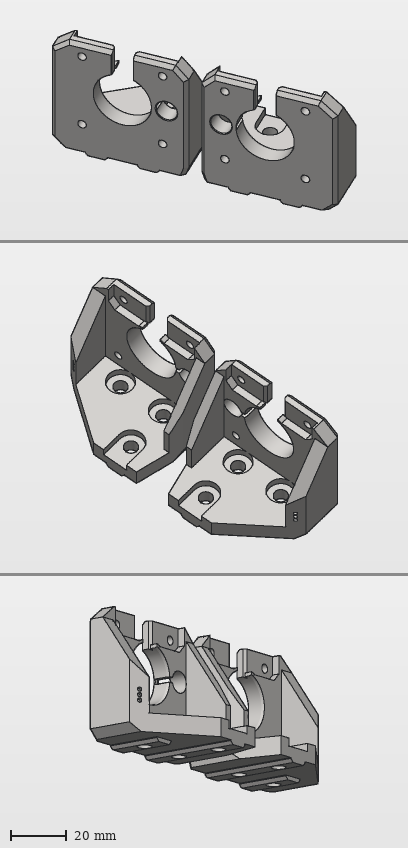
import cadquery as cq


gap_between_brackets = 5.0
outer_side = 27.5
inner_side = 25.0
height = 48.8
depth = 39.2
eps = 1.0

plate_thickness = 7.0
front_chamfer = 1.5
top_corner_height = 5.1
top_corner_outer = 6.6
top_corner_inner = 5.0
bottom_corner_height = 3.3
bottom_corner_outer = 3.5
bottom_corner_inner = 1.1

motor_z = 28.0
motor_bore_radius = 11.2
bore_back_chamfer_depth = 1.0
bore_back_chamfer_width = 0.3
motor_screw_spacing = 31.0
motor_screw_diameter = 3.3
slot_width = 8.2
slot_front_chamfer = 0.3
slot_back_chamfer = 1.0

recess_depth = 3.0
recess_floor_z = motor_z + 11.0
recess_floor_half_width = 17.1
recess_corner = 3.0
bore_collar_radius = 12.5

rod_x = 17.0
rod_diameter = 8.1
rod_chamfer = 0.3
rod_slit_height = 2.0
rod_slit_skin = 0.6

flange_thickness = 7.0
outer_wall = 6.0
inner_wall = 4.0
side_depth = 19.1
back_outer = 0.0
back_inner = 20.0
wall_back_y = 25.1
wall_back_z = 17.9
wall_top_z = height - top_corner_height

screw_half_spacing = 10.0
front_screw_y = 12.3
back_screw_y = 30.3
screw_diameter = 5.4
screw_head_diameter = 10.7
screw_head_depth = 3.0

ridge_height = 1.6
ridge_top_width = 8.4
ridge_bottom_width = 6.0
ridge_step = 0.3
ridge_front_chamfer = 0.3
outer_ridge_length = 21.2
inner_ridge_length = depth

marker_diameter = 1.5
marker_pitch = 2.0
marker_count = 3
marker_depth = 2.0
marker_y = 21.35
marker_middle_z = 13.55


def box(x0, x1, y0, y1, z0, z1):
    """Box between two opposite corners."""
    corner = cq.Workplane("XY", origin=(x0, y0, z0))
    return corner.box(x1 - x0, y1 - y0, z1 - z0, centered=False)


def along_y(outline, y0, y1):
    """Extrude an (x, z) outline from y0 to y1."""
    return cq.Workplane("XZ", origin=(0, y0, 0)).polyline(outline).close().extrude(y0 - y1)


def rod_along_y(x, z, diameter, y0, y1):
    """Cylinder parallel to Y from y0 to y1."""
    return cq.Workplane("XZ", origin=(x, y0, z)).circle(diameter / 2).extrude(y0 - y1)


def cone_along_y(x, z, y0, radius0, y1, radius1):
    """Cone parallel to Y with radius0 at y0 and radius1 at y1."""
    cone = cq.Solid.makeCone(radius0, radius1, y1 - y0, cq.Vector(x, y0, z), cq.Vector(0, 1, 0))
    return cq.Workplane(obj=cone)


def outer_block():
    """Full envelope: cornered front outline with a chamfered rim, except along the bottom."""
    front_outline = [
        (-outer_side + bottom_corner_outer, 0),
        (inner_side - bottom_corner_inner, 0),
        (inner_side, bottom_corner_height),
        (inner_side, height - top_corner_height),
        (inner_side - top_corner_inner, height),
        (-outer_side + top_corner_outer, height),
        (-outer_side, height - top_corner_height),
        (-outer_side, bottom_corner_height),
    ]
    block = along_y(front_outline, 0, depth)
    return block.faces("<Y").edges("not <Z").chamfer(front_chamfer)


def plan_taper():
    """Plan outline through the full height, with both sides tapering to the back edge."""
    plan = [
        (-outer_side, 0),
        (inner_side, 0),
        (inner_side, side_depth),
        (back_inner, depth),
        (back_outer, depth),
        (-outer_side, side_depth),
    ]
    bottom = cq.Workplane("XY", origin=(0, 0, -ridge_height))
    return bottom.polyline(plan).close().extrude(ridge_height + height)


def wall_profile():
    """Side profile that keeps the plate, the sloped walls and the flange."""
    profile = [
        (0, 0),
        (depth, 0),
        (depth, flange_thickness),
        (wall_back_y, flange_thickness),
        (wall_back_y, wall_back_z),
        (plate_thickness, wall_top_z),
        (plate_thickness, height),
        (0, height),
    ]
    width = outer_side + inner_side
    return cq.Workplane("YZ", origin=(-outer_side, 0, 0)).polyline(profile).close().extrude(width)


def motor_space():
    """Open space behind the plate, between the walls and above the flange."""
    return box(
        -outer_side + outer_wall, inner_side - inner_wall,
        plate_thickness, depth,
        flange_thickness, height)


def ridge(x, length):
    """Tapered ridge along the underside with a bevelled front end."""
    top = ridge_top_width / 2
    bottom = ridge_bottom_width / 2
    outline = [
        (x - top, 0),
        (x + top, 0),
        (x + top, -ridge_step),
        (x + bottom, -ridge_height),
        (x - bottom, -ridge_height),
        (x - top, -ridge_step),
    ]
    return along_y(outline, 0, length).faces("<Z").edges("<Y").chamfer(ridge_front_chamfer)


def motor_cuts():
    """Motor bore with its back chamfer and the four motor screw holes."""
    cuts = rod_along_y(0, motor_z, 2 * motor_bore_radius, -eps, plate_thickness)
    cuts = cuts.union(cone_along_y(
        0, motor_z, plate_thickness - bore_back_chamfer_depth, motor_bore_radius,
        plate_thickness, motor_bore_radius + bore_back_chamfer_width))
    half = motor_screw_spacing / 2
    for x in (-half, half):
        for z in (motor_z - half, motor_z + half):
            cuts = cuts.union(rod_along_y(x, z, motor_screw_diameter, -eps, plate_thickness))
    return cuts


def motor_slot():
    """Slot from the motor bore to the top, bevelled at the front and at the recess."""
    half = slot_width / 2
    web = plate_thickness - recess_depth
    plan = [
        (-half - slot_front_chamfer, 0),
        (half + slot_front_chamfer, 0),
        (half, slot_front_chamfer),
        (half, web - slot_back_chamfer),
        (half + slot_back_chamfer, web),
        (half, web),
        (half, plate_thickness),
        (-half, plate_thickness),
        (-half, web),
        (-half - slot_back_chamfer, web),
        (-half, web - slot_back_chamfer),
        (-half, slot_front_chamfer),
    ]
    bottom = cq.Workplane("XY", origin=(0, 0, motor_z))
    return bottom.polyline(plan).close().extrude(height - motor_z)


def screw_recess():
    """Recess in the back of the plate around the upper screws, clear of the bore collar."""
    floor = recess_floor_half_width
    side = floor + recess_corner
    outline = [
        (-floor, recess_floor_z),
        (floor, recess_floor_z),
        (side, recess_floor_z + recess_corner),
        (side, height + eps),
        (-side, height + eps),
        (-side, recess_floor_z + recess_corner),
    ]
    web = plate_thickness - recess_depth
    collar = rod_along_y(0, motor_z, 2 * bore_collar_radius, web, plate_thickness)
    return along_y(outline, web, plate_thickness).cut(collar)


def rod_cuts():
    """Smooth rod hole, its front chamfer and the hidden slit that joins it to the bore."""
    radius = rod_diameter / 2
    hole = rod_along_y(rod_x, motor_z, rod_diameter, -eps, plate_thickness)
    chamfer = cone_along_y(rod_x, motor_z, 0, radius + rod_chamfer, rod_chamfer, radius)
    low = motor_z - rod_slit_height / 2
    slit = box(0, rod_x, rod_slit_skin, plate_thickness, low, low + rod_slit_height)
    return hole.union(chamfer).union(slit)


def screw_cuts():
    """Frame screw holes with head recesses; the back recess is open to the rear."""
    places = [
        (-screw_half_spacing, front_screw_y),
        (screw_half_spacing, front_screw_y),
        (screw_half_spacing, back_screw_y),
    ]
    head_z = flange_thickness - screw_head_depth
    head_radius = screw_head_diameter / 2
    holes = cq.Workplane("XY", origin=(0, 0, -ridge_height)).pushPoints(places)
    holes = holes.circle(screw_diameter / 2).extrude(ridge_height + flange_thickness)
    heads = cq.Workplane("XY", origin=(0, 0, head_z)).pushPoints(places)
    heads = heads.circle(head_radius).extrude(screw_head_depth)
    heads = heads.intersect(box(-outer_side, inner_side, plate_thickness, depth, 0, height))
    exit_slot = box(
        screw_half_spacing - head_radius, screw_half_spacing + head_radius,
        back_screw_y, depth, head_z, flange_thickness)
    return holes.union(heads).union(exit_slot)


def marker_holes():
    """Column of blind holes square to the tapered face of the outer wall."""
    taper_run = back_outer + outer_side
    taper_rise = depth - side_depth
    marker_x = -outer_side + (marker_y - side_depth) * taper_run / taper_rise
    face = cq.Plane(
        origin=(marker_x, marker_y, marker_middle_z),
        xDir=(taper_run, taper_rise, 0),
        normal=(-taper_rise, taper_run, 0))
    holes = cq.Workplane(face).rarray(1, marker_pitch, 1, marker_count)
    return holes.circle(marker_diameter / 2).extrude(-marker_depth)


def left_bracket():
    """Complete left-hand bracket."""
    body = outer_block().intersect(wall_profile()).cut(motor_space())
    body = body.union(ridge(-screw_half_spacing, outer_ridge_length))
    body = body.union(ridge(screw_half_spacing, inner_ridge_length))
    body = body.intersect(plan_taper())
    body = body.cut(motor_cuts()).cut(motor_slot()).cut(screw_recess())
    body = body.cut(rod_cuts()).cut(screw_cuts()).cut(marker_holes())
    return body.translate((-inner_side - gap_between_brackets / 2, 0, 0))


left_side = left_bracket()
right_side = left_side.mirror("YZ")
result = cq.Compound.makeCompound([left_side.val(), right_side.val()])